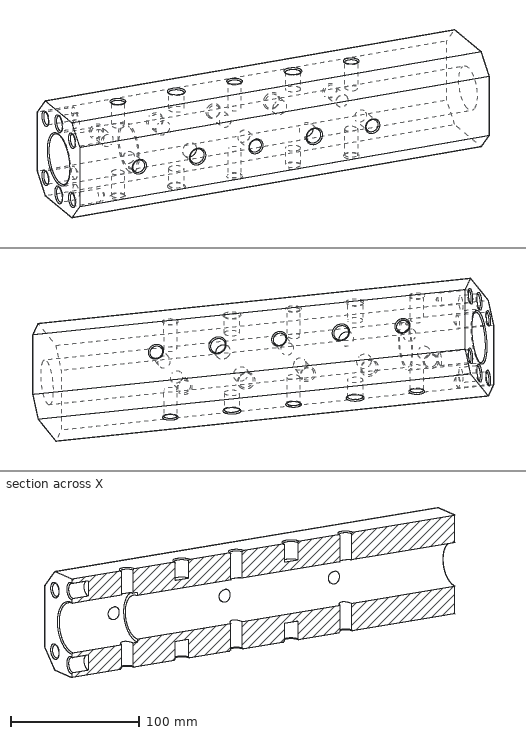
import cadquery as cq
import math

length = 351.0
width = 80.0
corner_cut = 15.0
half_width = width / 2
front_y = -length / 2

bore_diameter = 35.0
seat_diameter = 40.0
seat_depth = 60.0
edge_chamfer = 1.0

tapped_diameter = 10.2
tapped_chamfer = 1.0
tapped_depth = 25.0
drill_point_angle = 118
dowel_diameter = 12.0
dowel_chamfer = 1.0
dowel_depth = 15.0

tapped_spacing = 50.0
dowel_spacing = 60.0

row_count = 5
row_span = 200.0
row_pitch = row_span / (row_count - 1)
row_start = front_y + 51.0


def hole_cutter(diameter, chamfer, depth, tip_height=0.0):
    """Blind hole with a chamfered rim, opening at the origin and running along -Z."""
    radius = diameter / 2
    half_section = (
        cq.Workplane("XZ")
        .lineTo(radius + chamfer, 0)
        .lineTo(radius, -chamfer)
        .lineTo(radius, -depth)
        .lineTo(0, -depth - tip_height)
        .close()
    )
    return half_section.revolve(360, (0, 0, 0), (0, 1, 0))


def make_bar():
    blank = cq.Workplane("XY").box(width, length, width)
    return blank.edges("|Y").chamfer(corner_cut)


def make_bore():
    """Through bore, with the chamfered bearing seat at the front."""
    bore = cq.Workplane("XZ").circle(bore_diameter / 2).extrude(length / 2, both=True)
    return bore.union(on_front_end(hole_cutter(seat_diameter, edge_chamfer, seat_depth)))


def on_front_end(cutter, x=0.0, z=0.0):
    """Turn a cutter to enter the front end face at (x, z)."""
    return cutter.rotate((0, 0, 0), (1, 0, 0), 90).translate((x, front_y, z))


def make_end_holes():
    """Four tapped holes on a square and a dowel hole above and below the bore."""
    tip_height = tapped_diameter / 2 / math.tan(math.radians(drill_point_angle / 2))
    tapped_hole = hole_cutter(tapped_diameter, tapped_chamfer, tapped_depth, tip_height)
    dowel_hole = hole_cutter(dowel_diameter, dowel_chamfer, dowel_depth)
    holes = cq.Workplane("XY")
    for z_side in (-1, 1):
        holes = holes.add(on_front_end(dowel_hole, z=z_side * dowel_spacing / 2))
        for x_side in (-1, 1):
            x = x_side * tapped_spacing / 2
            z = z_side * tapped_spacing / 2
            holes = holes.add(on_front_end(tapped_hole, x, z))
    return holes


def make_face_row():
    """Holes in the top face; the tapped ones reach the axis of the bar."""
    tapped_hole = hole_cutter(tapped_diameter, tapped_chamfer, half_width)
    dowel_hole = hole_cutter(dowel_diameter, dowel_chamfer, dowel_depth)
    holes = cq.Workplane("XY")
    for index in range(row_count):
        hole = tapped_hole if index % 2 == 0 else dowel_hole
        y = row_start + index * row_pitch
        holes = holes.add(hole.translate((0, y, half_width)))
    return holes


result = make_bar().cut(make_bore())
for end_hole in make_end_holes().vals():
    result = result.cut(cq.Workplane(end_hole))

for quarter_turn in range(4):
    for face_hole in make_face_row().vals():
        turned_hole = face_hole.rotate((0, 0, 0), (0, 1, 0), quarter_turn * 90)
        result = result.cut(cq.Workplane(turned_hole))